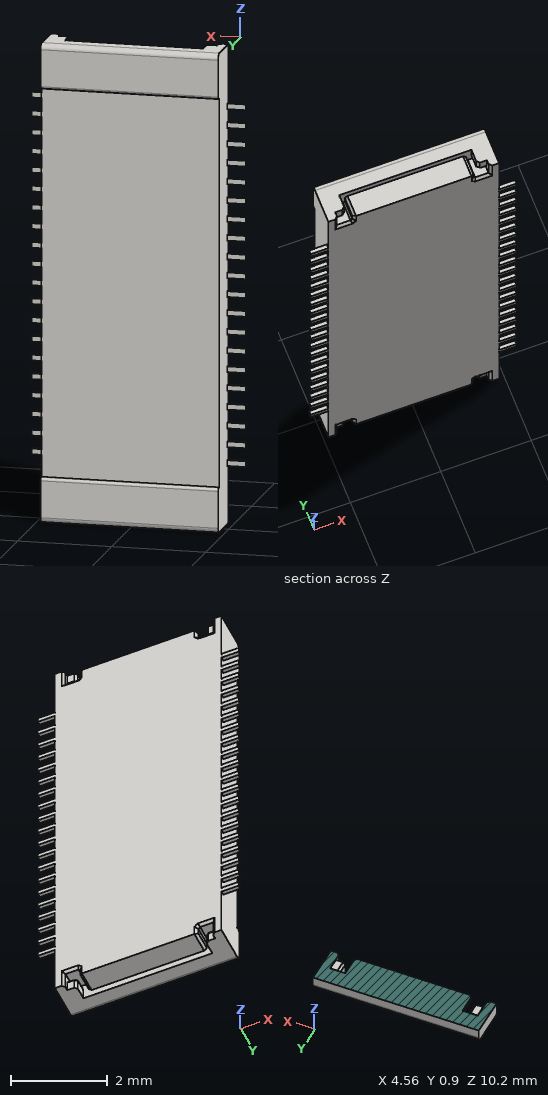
import cadquery as cq
import math

height = 10.22
body_width = 3.78
thickness = 0.9
front_y = -thickness / 2
back_y = thickness / 2

pad_length = 0.97
pad_rise = 0.09
pad_end_radius = 0.12
pad_step_radius = 0.06

tail_span = 4.56
tail_count = 20
tail_row_length = 7.6
tail_pitch = tail_row_length / (tail_count - 1)
tail_width = 0.12
tail_thickness = 0.09
tail_embed = 0.05

slot_length = 0.17
slot_depth = 0.49

pocket_inner_x = 1.34
pocket_outer_x = 1.68
pocket_length = 0.42
pocket_corner_cut = 0.04
bevel = 0.06

post_inner_x = 1.46
post_length = 0.32
post_recess = 0.15
post_corner_cut = 0.05

overrun = 0.2


def front_plane(depth):
    """Plane parallel to the front face, at a depth below it, facing outwards (-Y)."""
    return cq.Plane(origin=(0, front_y + depth, 0), xDir=(1, 0, 0), normal=(0, -1, 0))


def make_housing():
    block = cq.Workplane("XY").box(body_width, thickness, height)
    block = block.edges("|X and >Y").fillet(pad_end_radius)
    recess = cq.Workplane("XY").box(body_width, pad_rise, height - 2 * pad_length)
    recess = recess.translate((0, back_y - pad_rise / 2, 0))
    block = block.cut(recess)
    pad_step_edges = cq.selectors.BoxSelector(
        (-body_width, back_y - pad_rise / 2, pad_length - height / 2 - overrun),
        (body_width, back_y + overrun, height / 2 - pad_length + overrun),
    )
    return block.edges("|X").edges(pad_step_edges).fillet(pad_step_radius)


def make_tails():
    tails = cq.Workplane("XY")
    tail_y = front_y + tail_thickness / 2
    tail_length = (tail_span - body_width) / 2 + tail_embed
    for index in range(tail_count):
        tail_z = index * tail_pitch - tail_row_length / 2
        for side in (-1, 1):
            tail_x = side * (tail_span - tail_length) / 2
            tail = cq.Workplane("XY").box(tail_length, tail_thickness, tail_width)
            tails = tails.add(tail.translate((tail_x, tail_y, tail_z)))
    return tails.combine()


def clipped_corner_outline(inner_x, outer_x, floor_z, open_z, corner_cut, growth=0.0):
    """Points of a rectangle whose lower inner corner is cut off at 45 degrees.

    The inner, outer and floor sides and the cut all move outwards by growth.
    """
    grown_cut = corner_cut + growth * (2 - math.sqrt(2))
    grown_inner_x = inner_x - growth
    grown_outer_x = outer_x + growth
    grown_floor_z = floor_z - growth
    return [
        (grown_inner_x, open_z),
        (grown_inner_x, grown_floor_z + grown_cut),
        (grown_inner_x + grown_cut, grown_floor_z),
        (grown_outer_x, grown_floor_z),
        (grown_outer_x, open_z),
    ]


def beveled_prism(rim_depth, base_outline, rim_outline):
    """Prism rising from the slot depth, sloping to its rim outline over the bevel height."""
    shoulder_depth = rim_depth + bevel
    shaft = cq.Workplane(front_plane(slot_depth)).polyline(base_outline).close()
    shaft = shaft.extrude(slot_depth - shoulder_depth)
    rim = cq.Workplane(front_plane(shoulder_depth)).polyline(base_outline).close()
    rim = rim.workplane(offset=bevel).polyline(rim_outline).close().loft(ruled=True)
    return shaft.union(rim)


def make_corner_pocket():
    """Pocket at the +X side of the top slot, less the post left standing in it."""
    top_z = height / 2
    pocket_sides = (
        pocket_inner_x, pocket_outer_x,
        top_z - pocket_length, top_z + overrun, pocket_corner_cut,
    )
    pocket = beveled_prism(
        0,
        clipped_corner_outline(*pocket_sides),
        clipped_corner_outline(*pocket_sides, growth=bevel),
    )
    post_sides = (
        post_inner_x, pocket_outer_x + overrun,
        top_z - post_length, top_z + 2 * overrun, post_corner_cut,
    )
    post = beveled_prism(
        post_recess,
        clipped_corner_outline(*post_sides),
        clipped_corner_outline(*post_sides, growth=-bevel),
    )
    return pocket.cut(post)


def make_slot_corner_bevel():
    """Wedge that bevels the edge between the slot floor and the +X pocket, over the full depth."""
    slot_floor_z = height / 2 - slot_length
    wedge = cq.Workplane(front_plane(slot_depth)).polyline([
        (pocket_inner_x - bevel, slot_floor_z),
        (pocket_inner_x, slot_floor_z - bevel),
        (post_inner_x, slot_floor_z - bevel),
        (post_inner_x, slot_floor_z),
    ])
    return wedge.close().extrude(slot_depth)


def make_end_opening():
    """Everything removed at the top end: the slot and its two mirrored corner pockets."""
    slot = cq.Workplane("XY").box(2 * post_inner_x, slot_depth, slot_length + overrun)
    slot = slot.translate((0, front_y + slot_depth / 2, (height - slot_length + overrun) / 2))
    pocket = make_corner_pocket()
    side_opening = pocket.union(make_slot_corner_bevel())
    return slot.union(side_opening).union(side_opening.mirror("YZ"))


end_opening = make_end_opening()
result = make_housing().cut(end_opening).cut(end_opening.mirror("XY")).union(make_tails())